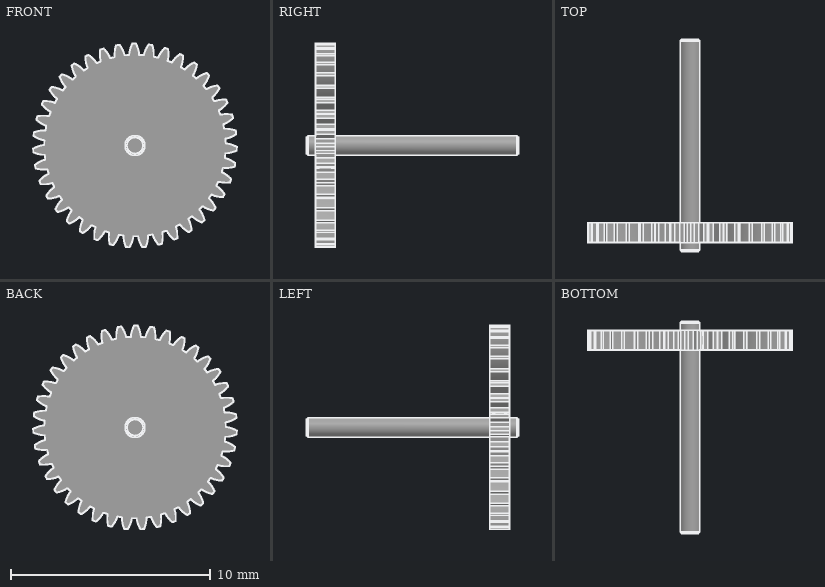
import cadquery as cq
import math

tooth_count = 39
tip_diameter = 10.25
pressure_angle = math.radians(20)
gear_width = 1.0
first_tooth_angle = math.radians(90.5)
flank_steps = 4

addendum_factor = 1.0
dedendum_factor = 1.25

gear_module = tip_diameter / (tooth_count + 2 * addendum_factor)
pitch_radius = gear_module * tooth_count / 2
tip_radius = tip_diameter / 2
root_radius = pitch_radius - dedendum_factor * gear_module
base_radius = pitch_radius * math.cos(pressure_angle)
tooth_pitch = 2 * math.pi / tooth_count

shaft_diameter = 1.0
shaft_length = 10.65
shaft_front_overhang = 0.45
shaft_chamfer = 0.1


def polar(radius, angle):
    return (radius * math.cos(angle), radius * math.sin(angle))


def involute(angle):
    return math.tan(angle) - angle


def half_tooth_angle(radius):
    """Half of the angle that a tooth spans at a radius on its involute flank."""
    flank_angle = math.acos(min(1.0, base_radius / radius))
    return tooth_pitch / 4 + involute(pressure_angle) - involute(flank_angle)


def add_tooth(outline, center):
    """Extend the outline over one tooth and the root gap after it."""
    flank_radii = [
        base_radius + (tip_radius - base_radius) * step / flank_steps for step in range(flank_steps + 1)
    ]
    rising_flank = [polar(r, center - half_tooth_angle(r)) for r in flank_radii]
    falling_flank = [polar(r, center + half_tooth_angle(r)) for r in reversed(flank_radii)]
    tooth_end = center + half_tooth_angle(base_radius)
    next_tooth_start = center + tooth_pitch - half_tooth_angle(base_radius)
    return (
        outline.lineTo(*rising_flank[0])
        .spline(rising_flank[1:], includeCurrent=True)
        .threePointArc(polar(tip_radius, center), falling_flank[0])
        .spline(falling_flank[1:], includeCurrent=True)
        .lineTo(*polar(root_radius, tooth_end))
        .threePointArc(polar(root_radius, center + tooth_pitch / 2), polar(root_radius, next_tooth_start))
    )


def make_gear():
    start_angle = first_tooth_angle - half_tooth_angle(base_radius)
    outline = cq.Workplane("XZ").moveTo(*polar(root_radius, start_angle))
    for tooth in range(tooth_count):
        outline = add_tooth(outline, first_tooth_angle + tooth * tooth_pitch)
    blank = outline.close().extrude(-gear_width)
    bore = cq.Workplane("XZ").circle(shaft_diameter / 2).extrude(-gear_width)
    return blank.cut(bore)


def make_shaft():
    return (
        cq.Workplane("XZ", origin=(0, -shaft_front_overhang, 0))
        .circle(shaft_diameter / 2)
        .extrude(-shaft_length)
        .edges("%CIRCLE")
        .chamfer(shaft_chamfer)
    )


gear = make_gear()
shaft = make_shaft()

result = cq.Compound.makeCompound([gear.val(), shaft.val()])